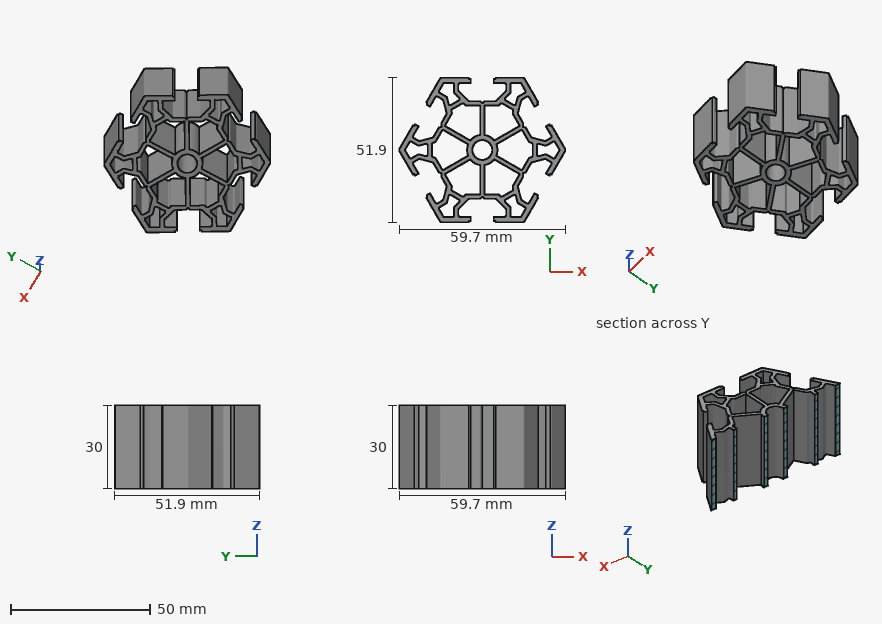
import cadquery as cq
import math

SIDES = 6
SECTOR_ANGLE = 360 / SIDES
FLANK_ANGLE = 45

length = 30.0
corner_reach = 29.85
apothem = 25.95
wall = 1.6

bore_radius = 3.5
hub_radius = 5.5

lip_thickness = 1.95
mouth_half_width = 4.05
mouth_step_half_width = 4.8
mouth_step_depth = 0.5
slot_half_width = 8.55
floor_height = 17.55
floor_half_width = 4.9
groove_half_width = 0.8
slot_fillet = 0.6
lip_fillet = 0.1

cavity_fillet = 0.5
chamber_half_width = 5.95
corner_web_inner = 18.0

lip_underside = apothem - lip_thickness
flank_rise = (slot_half_width - floor_half_width) * math.tan(math.radians(FLANK_ANGLE))
flank_top_height = floor_height + flank_rise
corner_axis_angle = 90 - SECTOR_ANGLE / 2
flank_taper = math.tan(math.radians(corner_axis_angle - FLANK_ANGLE))
oversize = 0.6


def to_corner_frame(x, y):
    """Turn a slot-frame point so that the hexagon corner beside the slot lies on +X."""
    turn = math.radians(corner_axis_angle)
    along = x * math.cos(turn) + y * math.sin(turn)
    across = y * math.cos(turn) - x * math.sin(turn)
    return along, across


def prism(points):
    return cq.Workplane("XY").polyline(points).close().extrude(length)


def mirror_x(points):
    """Mirror image across the slot's centre plane, in reverse order to close an outline."""
    return [(-x, y) for x, y in reversed(points)]


def mirror_y(points):
    """Mirror image across the corner axis, in reverse order to close an outline."""
    return [(x, -y) for x, y in reversed(points)]


def both_sides(points):
    return points + mirror_x(points)


def fillet_edges_at(body, points, radius):
    """Round the upright edges that pass through the given points."""
    for x, y in points:
        edge = cq.selectors.NearestToPointSelector((x, y, length / 2))
        body = body.edges("|Z").edges(edge).fillet(radius)
    return body


def around_axis(body):
    """Copies of a body in all six sectors."""
    copies = cq.Workplane("XY")
    for i in range(SIDES):
        copies = copies.add(body.rotate((0, 0, 0), (0, 0, 1), i * SECTOR_ANGLE))
    return copies.combine()


def make_blank():
    vertex_radius = apothem / math.cos(math.pi / SIDES)
    corner_radius = (vertex_radius - corner_reach) / (vertex_radius / apothem - 1)
    blank = cq.Workplane("XY").polygon(SIDES, 2 * vertex_radius).extrude(length)
    return blank.edges("|Z").fillet(corner_radius)


def make_slot():
    step_corner = (mouth_step_half_width, apothem)
    lip_corner = (mouth_half_width, apothem - mouth_step_depth)
    lip_inner_corner = (mouth_half_width, lip_underside)
    upper_corner = (slot_half_width, lip_underside)
    flank_top = (slot_half_width, flank_top_height)
    flank_foot = (floor_half_width, floor_height)
    groove_edge = (groove_half_width, floor_height)
    half = [
        (mouth_step_half_width + oversize, apothem + oversize),
        (mouth_step_half_width + oversize, apothem),
        step_corner,
        (mouth_step_half_width, apothem - mouth_step_depth),
        lip_corner,
        lip_inner_corner,
        upper_corner,
        flank_top,
        flank_foot,
        groove_edge,
    ]
    groove_root = (0, floor_height - groove_half_width)
    slot = prism(half + [groove_root] + mirror_x(half))
    inner_corners = [upper_corner, flank_top, flank_foot, groove_edge]
    slot = fillet_edges_at(slot, both_sides(inner_corners), slot_fillet)
    return fillet_edges_at(slot, both_sides([step_corner, lip_corner, lip_inner_corner]), lip_fillet)


def make_corner_pocket():
    """Closed pocket behind a hexagon corner, in the corner frame."""
    side = slot_half_width + wall
    bend_height = flank_top_height - wall * math.tan(math.radians((90 - FLANK_ANGLE) / 2))
    apex = (lip_underside / math.cos(math.pi / SIDES), 0)
    outer = to_corner_frame(side, lip_underside)
    bend = to_corner_frame(side, bend_height)
    inner_along = corner_web_inner + wall
    inner = (inner_along, bend[1] + (bend[0] - inner_along) * flank_taper)
    half = [outer, bend, inner]
    pocket = prism([apex] + half + mirror_y(half))
    return fillet_edges_at(pocket, half + mirror_y(half), cavity_fillet)


def make_chamber():
    """Chamber between two spokes, the slot floors and the corner web, in the corner frame."""
    flat_height = floor_height - wall
    half_spoke = wall / 2
    spoke_root = (half_spoke / math.sin(math.radians(SECTOR_ANGLE / 2)), 0)
    spoke_end = to_corner_frame(half_spoke, flat_height)
    turn = to_corner_frame(chamber_half_width, flat_height)
    web_end = (corner_web_inner, turn[1] + (turn[0] - corner_web_inner) * flank_taper)
    half = [spoke_end, turn, web_end]
    rounded = [turn, web_end]
    chamber = prism([spoke_root] + half + mirror_y(half))
    chamber = fillet_edges_at(chamber, rounded + mirror_y(rounded), cavity_fillet)
    return chamber.cut(cq.Workplane("XY").circle(hub_radius).extrude(length))


bore = cq.Workplane("XY").circle(bore_radius).extrude(length)

result = make_blank().cut(bore)
result = result.cut(around_axis(make_slot()))
result = result.cut(around_axis(make_corner_pocket()))
result = result.cut(around_axis(make_chamber()))